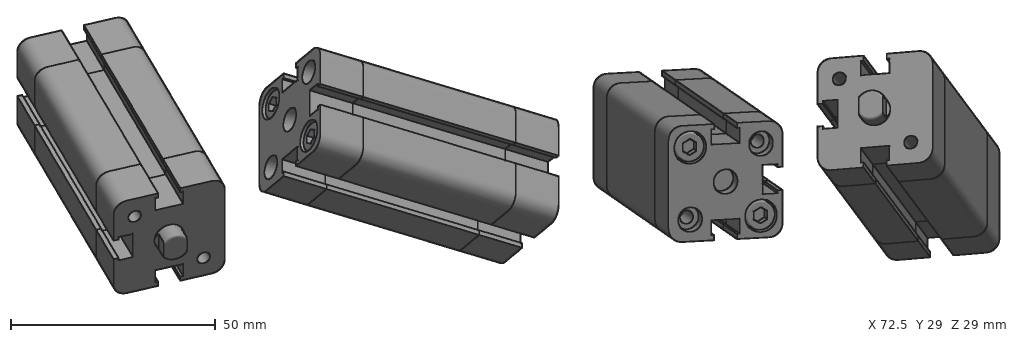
import cadquery as cq
import math

TOTAL_LENGTH = 72.5
HOUSING_LENGTH = 68.0
SECTION_WIDTH = 29.0
CORNER_RADIUS = 3.5
CAP_LENGTH = 12.25

SLOT_MOUTH_WIDTH = 5.8
SLOT_INNER_WIDTH = 7.25
SLOT_DEPTH = 5.1
SLOT_LIP = 1.3
SLOT_ANGLES = (0, 90, 180)

HOLE_OFFSET = 9.0
MOUNT_BORE_DIAMETER = 3.3
MOUNT_RECESS_DIAMETER = 6.1
MOUNT_RECESS_DEPTH = 3.3
CENTRING_HOLE_DIAMETER = 6.1
CENTRING_HOLE_DEPTH = 4.0

SCREW_RECESS_DIAMETER = 8.1
SCREW_RECESS_DEPTH = 4.0
HEAD_DIAMETER = 7.5
HEAD_SETBACK = 0.5
HEAD_FILLET = 0.5
SOCKET_ACROSS_FLATS = 3.5
SOCKET_DEPTH = 2.55

ROD_DIAMETER = 7.7
ROD_FLATS_WIDTH = 6.0
ROD_TIP_FILLET = 0.65

HALF_WIDTH = SECTION_WIDTH / 2
FRONT_CAP_START = HOUSING_LENGTH - CAP_LENGTH
BARREL_LENGTH = HOUSING_LENGTH - 2 * CAP_LENGTH
MOUNT_POINTS = [(-HOLE_OFFSET, HOLE_OFFSET), (HOLE_OFFSET, -HOLE_OFFSET)]
SCREW_POINTS = [(HOLE_OFFSET, HOLE_OFFSET), (-HOLE_OFFSET, -HOLE_OFFSET)]


def section_plane(x):
    """Sketch plane across the housing at x: local x is +Y, local y is +Z, normal is +X."""
    return cq.Workplane("YZ", origin=(x, 0, 0))


def cylinders(points, diameter, x, length):
    """Cylinders along +X from x, at the given (y, z) points."""
    return section_plane(x).pushPoints(points).circle(diameter / 2).extrude(length)


def slot(x, length, angle):
    """T-shaped slot cutter for the +Z side, turned about the X axis by the angle."""
    mouth_height = HALF_WIDTH - SLOT_DEPTH / 2
    inner_depth = SLOT_DEPTH - SLOT_LIP
    inner_height = HALF_WIDTH - SLOT_LIP - inner_depth / 2
    mouth = section_plane(x).center(0, mouth_height).rect(SLOT_MOUTH_WIDTH, SLOT_DEPTH).extrude(length)
    inner = section_plane(x).center(0, inner_height).rect(SLOT_INNER_WIDTH, inner_depth).extrude(length)
    return mouth.union(inner).rotate((0, 0, 0), (1, 0, 0), angle)


def housing_stretch(x, length):
    """Stretch of the housing: rounded square section with the slots and the two mounting bores."""
    stretch = section_plane(x).rect(SECTION_WIDTH, SECTION_WIDTH).extrude(length)
    stretch = stretch.edges("|X").fillet(CORNER_RADIUS)
    for angle in SLOT_ANGLES:
        stretch = stretch.cut(slot(x, length, angle))
    return stretch.cut(cylinders(MOUNT_POINTS, MOUNT_BORE_DIAMETER, x, length))


def screw_heads():
    """Rounded screw heads with hexagon sockets, reaching down to the recess floors."""
    heads = cylinders(SCREW_POINTS, HEAD_DIAMETER, HEAD_SETBACK, SCREW_RECESS_DEPTH - HEAD_SETBACK)
    heads = heads.faces("<X").edges().fillet(HEAD_FILLET)
    across_corners = SOCKET_ACROSS_FLATS / math.cos(math.pi / 6)
    hexagon = cq.Sketch().regularPolygon(across_corners / 2, 6)
    sockets = section_plane(HEAD_SETBACK).pushPoints(SCREW_POINTS).placeSketch(hexagon).extrude(SOCKET_DEPTH)
    return heads.cut(sockets)


def build_rear_cap():
    cap = housing_stretch(0, CAP_LENGTH)
    cap = cap.cut(cylinders(MOUNT_POINTS, MOUNT_RECESS_DIAMETER, 0, MOUNT_RECESS_DEPTH))
    cap = cap.cut(cylinders([(0, 0)], CENTRING_HOLE_DIAMETER, 0, CENTRING_HOLE_DEPTH))
    cap = cap.cut(cylinders(SCREW_POINTS, SCREW_RECESS_DIAMETER, 0, SCREW_RECESS_DEPTH))
    return cap.union(screw_heads())


def build_barrel():
    return housing_stretch(CAP_LENGTH, BARREL_LENGTH)


def build_front_cap():
    cap = housing_stretch(FRONT_CAP_START, CAP_LENGTH)
    return cap.cut(cylinders([(0, 0)], ROD_DIAMETER, FRONT_CAP_START, CAP_LENGTH))


def build_rod():
    """Rod through the front cap; its end has flats on +Y and -Y that start in 45 degree ramps."""
    rod = cylinders([(0, 0)], ROD_DIAMETER, FRONT_CAP_START, TOTAL_LENGTH - FRONT_CAP_START)
    rod = rod.faces(">X").edges().fillet(ROD_TIP_FILLET)
    radius = ROD_DIAMETER / 2
    flat_y = ROD_FLATS_WIDTH / 2
    ramp_end = HOUSING_LENGTH + radius - flat_y
    flat_cutter = (
        cq.Workplane("XY", origin=(0, 0, -radius))
        .moveTo(HOUSING_LENGTH, radius)
        .lineTo(ramp_end, flat_y)
        .lineTo(TOTAL_LENGTH, flat_y)
        .lineTo(TOTAL_LENGTH, radius)
        .close()
        .extrude(ROD_DIAMETER)
    )
    return rod.cut(flat_cutter).cut(flat_cutter.mirror("XZ"))


rear_cap = build_rear_cap()
barrel = build_barrel()
front_cap = build_front_cap()
rod = build_rod()

result = cq.Compound.makeCompound([rear_cap.val(), barrel.val(), front_cap.val(), rod.val()])